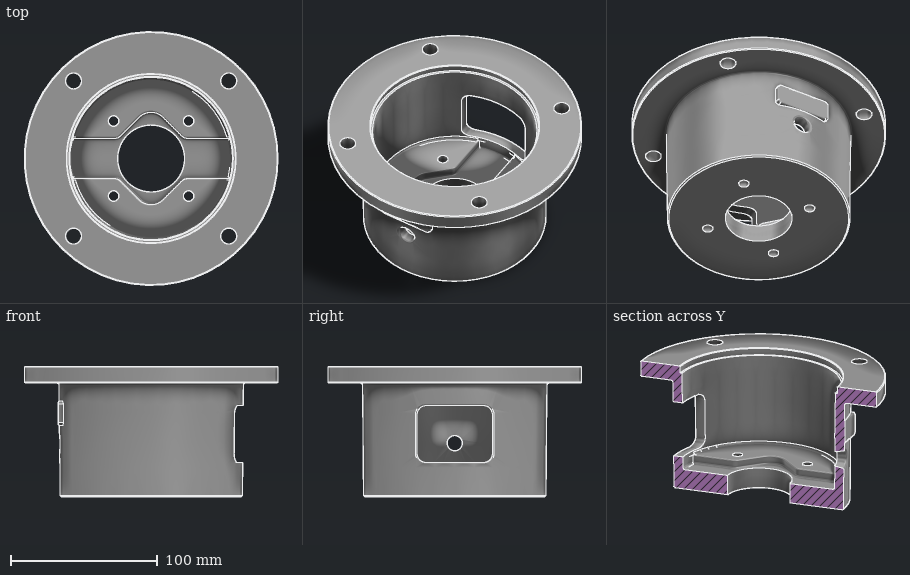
import cadquery as cq
import math

flange_radius = 172.97 / 2
flange_thickness = 11.4
flange_edge_chamfer = 0.6
total_height = 88.9
flange_bottom = total_height - flange_thickness

body_radius_bottom = 62.3
body_radius_top = 62.95
body_edge_chamfer = 1.0
neck_fillet = 1.5

pilot_radius = 57.4
pilot_depth = 5.0
pilot_chamfer = 0.5
cavity_radius_top = 56.0
cavity_radius_bottom = 55.4
floor_height = 20.3
floor_fillet = 1.8
cove_overlap = 0.5

channel_depth = 6.0
channel_half_width = 13.75
channel_lip_fillet = 1.0
channel_foot_fillet = 1.5
bulge_reach = 31.5
bulge_tip_radius = 11.4
bulge_neck_radius = 5.0
shaft_hole_diameter = 45.4

flange_hole_diameter = 10.7
flange_hole_pitch = 105.7
floor_hole_diameter = 7.0
floor_hole_pitch = 51.1

window_width = 51.2
window_bottom = 23.4
window_top = 62.1
window_height = window_top - window_bottom
window_middle = (window_bottom + window_top) / 2
window_corner_radius = 6.0
window_edge_fillet = 0.8

access_hole_height = 36.5
access_outer_diameter = 12.3
access_inner_diameter = 10.2
access_mouth_fillet = 1.6

plate_width = 39.2
plate_bottom = 48.6
plate_top = 65.2
plate_face = 63.3
plate_root = 57.0
plate_corner_chamfer = 2.0
plate_edge_fillet = 1.0


def make_shell():
    """Flange, tapered body and stepped cavity as one turned profile."""
    profile = (
        cq.Workplane("XZ")
        .moveTo(0, 0)
        .lineTo(body_radius_bottom - body_edge_chamfer, 0)
        .lineTo(body_radius_bottom, body_edge_chamfer)
        .lineTo(body_radius_top, flange_bottom - neck_fillet)
        .radiusArc((body_radius_top + neck_fillet, flange_bottom), neck_fillet)
        .lineTo(flange_radius - flange_edge_chamfer, flange_bottom)
        .lineTo(flange_radius, flange_bottom + flange_edge_chamfer)
        .lineTo(flange_radius, total_height - flange_edge_chamfer)
        .lineTo(flange_radius - flange_edge_chamfer, total_height)
        .lineTo(pilot_radius + pilot_chamfer, total_height)
        .lineTo(pilot_radius, total_height - pilot_chamfer)
        .lineTo(pilot_radius, total_height - pilot_depth)
        .lineTo(cavity_radius_top, total_height - pilot_depth)
        .lineTo(cavity_radius_bottom, floor_height)
        .lineTo(0, floor_height)
        .close()
    )
    return profile.revolve(360, (0, 0, 0), (0, 1, 0))


def make_channel():
    """Channel along X, a straight strip joined to a diamond with rounded tips.

    The lands on both sides are shaped first, so that the channel is what they leave
    free of a disc as wide as the cavity.
    """
    diamond_tip = bulge_reach + bulge_tip_radius * (math.sqrt(2) - 1)
    neck_x = diamond_tip - channel_half_width
    land = (
        cq.Workplane("XY")
        .workplane(offset=floor_height - channel_depth)
        .moveTo(-body_radius_bottom, channel_half_width)
        .lineTo(-neck_x, channel_half_width)
        .lineTo(0, diamond_tip)
        .lineTo(neck_x, channel_half_width)
        .lineTo(body_radius_bottom, channel_half_width)
        .lineTo(body_radius_bottom, body_radius_bottom)
        .lineTo(-body_radius_bottom, body_radius_bottom)
        .close()
        .extrude(channel_depth)
    )
    tip = cq.selectors.NearestToPointSelector((0, diamond_tip, floor_height))
    land = land.edges("|Z").edges(tip).fillet(bulge_tip_radius)
    necks = cq.selectors.BoxSelector(
        (-neck_x - 1, channel_half_width - 1, 0),
        (neck_x + 1, channel_half_width + 1, total_height),
    )
    land = land.edges("|Z").edges(necks).fillet(bulge_neck_radius)
    land = land.faces(">Z").edges("|X").edges("<Y").fillet(channel_lip_fillet)
    disc = (
        cq.Workplane("XY")
        .workplane(offset=floor_height - channel_depth)
        .circle(cavity_radius_bottom)
        .extrude(channel_depth)
    )
    channel = disc.cut(land).cut(land.mirror("XZ"))
    return channel.faces("<Z").edges().fillet(channel_foot_fillet)


def make_floor_cove():
    """Rounded foot of the cavity wall, interrupted where the channel meets the wall."""
    outer = cavity_radius_bottom + cove_overlap
    lower = floor_height - cove_overlap
    inner = cavity_radius_bottom - floor_fillet
    ring = (
        cq.Workplane("XZ")
        .moveTo(outer, lower)
        .lineTo(inner, lower)
        .lineTo(inner, floor_height)
        .radiusArc((cavity_radius_bottom, floor_height + floor_fillet), -floor_fillet)
        .lineTo(outer, floor_height + floor_fillet)
        .close()
        .revolve(360, (0, 0, 0), (0, 1, 0))
    )
    gap = 2 * (channel_half_width + channel_lip_fillet)
    return ring.cut(cq.Workplane("XY").box(2 * body_radius_top, gap, total_height))


def make_square_holes(pitch, diameter):
    return (
        cq.Workplane("XY")
        .rect(pitch, pitch, forConstruction=True)
        .vertices()
        .circle(diameter / 2)
        .extrude(total_height)
    )


def make_shaft_hole():
    return cq.Workplane("XY").circle(shaft_hole_diameter / 2).extrude(floor_height)


def make_window():
    return (
        cq.Workplane("YZ")
        .center(0, window_middle)
        .rect(window_width, window_height)
        .extrude(flange_radius)
        .edges("|X")
        .fillet(window_corner_radius)
    )


def make_access_hole():
    """Conical hole along X, narrowing from the outside of the wall to the inside."""
    wall = body_radius_bottom - cavity_radius_bottom
    outer_radius = access_outer_diameter / 2
    inner_radius = access_inner_diameter / 2
    slope = (outer_radius - inner_radius) / wall
    start_x = -(body_radius_bottom + wall)
    end_x = -(cavity_radius_bottom - wall)
    profile = (
        cq.Workplane("XY")
        .moveTo(start_x, 0)
        .lineTo(start_x, outer_radius + slope * wall)
        .lineTo(end_x, inner_radius - slope * wall)
        .lineTo(end_x, 0)
        .close()
    )
    return profile.revolve(360, (0, 0, 0), (1, 0, 0)).translate((0, 0, access_hole_height))


def round_outer_rim(body, side, centre_height, opening_height, radius):
    """Round the edges where an opening on the +X or -X side (1 or -1) meets the outside of the wall."""
    wall_middle = (body_radius_bottom + cavity_radius_top) / 2
    rim = []
    for edge in body.edges().vals():
        middle = edge.positionAt(0.5)
        start = edge.startPoint()
        end = edge.endPoint()
        in_opening = middle.x * side > 0 and abs(middle.z - centre_height) < opening_height
        on_outside = min(math.hypot(start.x, start.y), math.hypot(end.x, end.y)) > wall_middle
        if in_opening and on_outside:
            rim.append(edge)
    return body.newObject(rim).fillet(radius)


def make_name_plate():
    height = plate_top - plate_bottom
    depth = plate_face - plate_root
    return (
        cq.Workplane("YZ")
        .workplane(offset=-plate_face)
        .center(0, plate_bottom + height / 2)
        .rect(plate_width, height)
        .extrude(depth)
        .edges("|X")
        .chamfer(plate_corner_chamfer)
        .faces("<X")
        .edges()
        .fillet(plate_edge_fillet)
    )


result = make_shell()
result = result.cut(make_window())
result = round_outer_rim(result, 1, window_middle, window_height, window_edge_fillet)
result = result.cut(make_access_hole())
result = round_outer_rim(result, -1, access_hole_height, access_outer_diameter, access_mouth_fillet)
result = result.cut(make_channel())
result = result.union(make_floor_cove())
result = result.cut(make_shaft_hole())
result = result.union(make_name_plate())
result = result.cut(make_square_holes(flange_hole_pitch, flange_hole_diameter))
result = result.cut(make_square_holes(floor_hole_pitch, floor_hole_diameter))